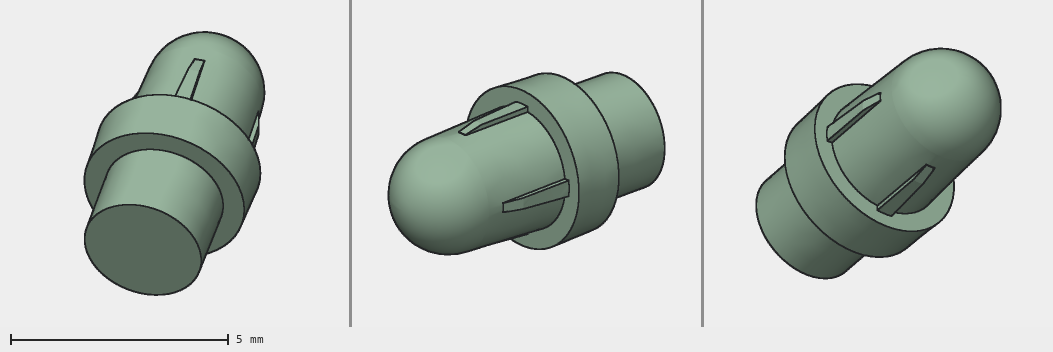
import cadquery as cq

total_length = 6.84
pin_length = 1.895
flange_length = 1.28
dome_base_y = 5.46
rib_knee_y = 4.52
rib_tip_y = 5.035
flange_top_y = pin_length + flange_length

pin_end_radius = 1.39
pin_root_radius = 1.4
flange_bottom_radius = 1.9
flange_top_diameter = 3.89
flange_top_radius = flange_top_diameter / 2
body_root_radius = 1.48
dome_radius = total_length - dome_base_y

rib_count = 4
rib_root_radius = 1.61
rib_knee_radius = 1.54
rib_tip_radius = 1.41
rib_inner_radius = 1.025
rib_root_width = 0.4
rib_tip_width = 0.23


def make_turned_body():
    """Pin, flange, tapered body and domed nose, revolved about Y."""
    dome_mid = dome_radius * 0.5 ** 0.5
    return (
        cq.Workplane("XY")
        .lineTo(pin_end_radius, 0)
        .lineTo(pin_root_radius, pin_length)
        .lineTo(flange_bottom_radius, pin_length)
        .lineTo(flange_top_radius, flange_top_y)
        .lineTo(body_root_radius, flange_top_y)
        .lineTo(dome_radius, dome_base_y)
        .threePointArc((dome_mid, dome_base_y + dome_mid), (0, total_length))
        .close()
        .revolve(360, (0, 0, 0), (0, 1, 0))
    )


def make_rib():
    """Rib on the +Z side: conical outer face, flat sloped tip, tapering width."""
    cone_slope = (rib_knee_radius - rib_root_radius) / (rib_knee_y - flange_top_y)
    cone_tip_radius = rib_root_radius + cone_slope * (rib_tip_y - flange_top_y)
    cone = (
        cq.Workplane("XY")
        .moveTo(0, flange_top_y)
        .lineTo(rib_root_radius, flange_top_y)
        .lineTo(cone_tip_radius, rib_tip_y)
        .lineTo(0, rib_tip_y)
        .close()
        .revolve(360, (0, 0, 0), (0, 1, 0))
    )
    wedge = (
        cq.Workplane("XY")
        .polyline([
            (-rib_root_width / 2, flange_top_y),
            (rib_root_width / 2, flange_top_y),
            (rib_tip_width / 2, rib_tip_y),
            (-rib_tip_width / 2, rib_tip_y),
        ])
        .close()
        .extrude(flange_top_radius)
    )
    slope = (rib_knee_radius - rib_tip_radius) / (rib_tip_y - rib_knee_y)
    slope_radius_at_flange = rib_tip_radius + slope * (rib_tip_y - flange_top_y)
    side_profile = (
        cq.Workplane("YZ")
        .polyline([
            (flange_top_y, rib_inner_radius),
            (flange_top_y, slope_radius_at_flange),
            (rib_tip_y, rib_tip_radius),
            (rib_tip_y, rib_inner_radius),
        ])
        .close()
        .extrude(rib_root_width, both=True)
    )
    return cone.intersect(wedge).intersect(side_profile)


result = make_turned_body()
rib = make_rib()
for index in range(rib_count):
    angle = index * 360 / rib_count
    result = result.union(rib.rotate((0, 0, 0), (0, 1, 0), angle))